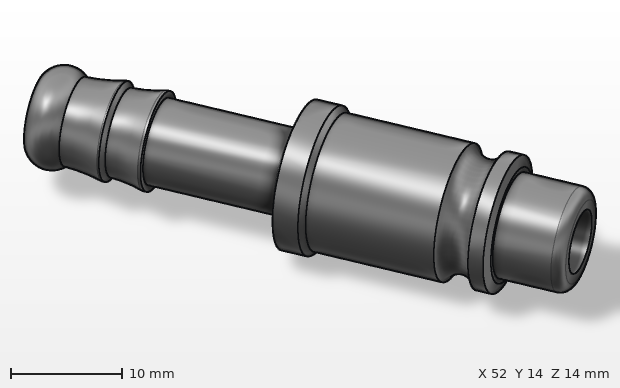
import cadquery as cq

length = 52.0
bore_radius = 6.0 / 2

tip_radius = 7.8 / 2
bulb_radius = 4.85
bulb_x = 1.75
valley_radius = 4.15
first_valley_x = 3.5
barb_radius = 4.7
barb_land = 0.2
first_barb_x = 7.3
second_valley_x = 7.9
second_barb_x = 11.2
barbs_end_x = 11.5
flare_sag = 0.1

shank_radius = 8.1 / 2
collar_x = 25.0
root_fillet = 1.0
collar_radius = 14.0 / 2
collar_end_x = 27.45

body_radius = 12.9 / 2
groove_start_x = 40.3
groove_end_x = 43.6
groove_bottom_radius = 5.35
ring_end_x = 45.05
ring_bevel_length = 0.35
ring_bevel_depth = 1.05

nose_radius = 9.9 / 2
nose_round = 1.05


def add_flare(outline, start_x, end_x):
    """Add a slightly hollow flare from a valley up to a barb crest."""
    middle = ((start_x + end_x) / 2, (valley_radius + barb_radius) / 2 - flare_sag)
    return outline.threePointArc(middle, (end_x, barb_radius))


def add_barbs(outline):
    """Add the rounded tip and the two barbs, ending on the shank."""
    outline = outline.lineTo(0, tip_radius)
    outline = outline.threePointArc((bulb_x, bulb_radius), (first_valley_x, valley_radius))
    outline = add_flare(outline, first_valley_x, first_barb_x)
    outline = outline.lineTo(first_barb_x + barb_land, barb_radius)
    outline = outline.lineTo(second_valley_x, valley_radius)
    outline = add_flare(outline, second_valley_x, second_barb_x)
    outline = outline.lineTo(barbs_end_x, barb_radius)
    return outline.lineTo(barbs_end_x, shank_radius)


def add_collar(outline):
    """Add the shank with its root fillet and the collar bevelled down to the body."""
    collar_bevel = collar_radius - body_radius
    outline = outline.lineTo(collar_x - root_fillet, shank_radius)
    outline = outline.radiusArc((collar_x, shank_radius + root_fillet), -root_fillet)
    outline = outline.lineTo(collar_x, collar_radius)
    outline = outline.lineTo(collar_end_x, collar_radius)
    return outline.lineTo(collar_end_x + collar_bevel, body_radius)


def add_body(outline):
    """Add the body with its round groove and the bevelled ring behind it."""
    groove_bottom = ((groove_start_x + groove_end_x) / 2, groove_bottom_radius)
    bevel_end_x = ring_end_x + ring_bevel_length
    outline = outline.lineTo(groove_start_x, body_radius)
    outline = outline.threePointArc(groove_bottom, (groove_end_x, body_radius))
    outline = outline.lineTo(ring_end_x, body_radius)
    outline = outline.lineTo(bevel_end_x, body_radius - ring_bevel_depth)
    return outline.lineTo(bevel_end_x, nose_radius)


def add_nose(outline):
    """Add the nose with its rounded end, down to the bore."""
    outline = outline.lineTo(length - nose_round, nose_radius)
    outline = outline.radiusArc((length, nose_radius - nose_round), nose_round)
    return outline.lineTo(length, bore_radius)


half_section = cq.Workplane("XY").moveTo(0, bore_radius)
for add_stretch in (add_barbs, add_collar, add_body, add_nose):
    half_section = add_stretch(half_section)

result = half_section.close().revolve(360, (0, 0, 0), (1, 0, 0))